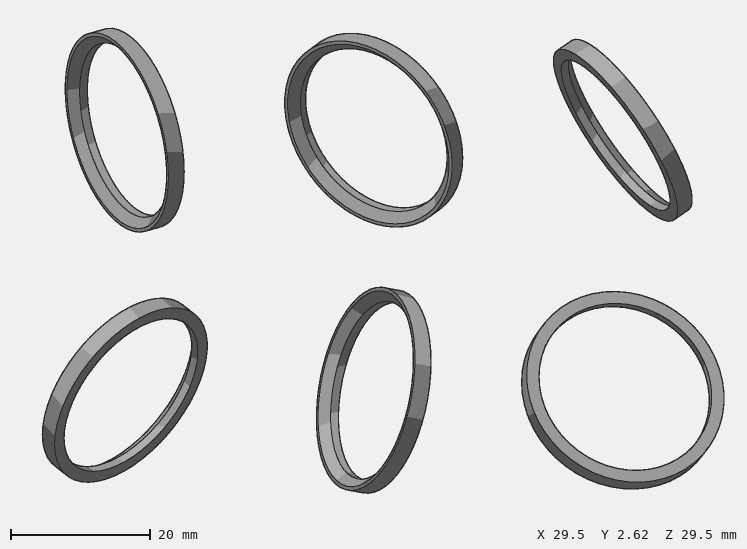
import cadquery as cq

outer_diameter = 29.5
ring_width = 2.62
mouth_diameter = 28.43
bore_diameter = 25.77
taper_depth = 1.33

outer_radius = outer_diameter / 2
mouth_radius = mouth_diameter / 2
bore_radius = bore_diameter / 2
front_y = -ring_width / 2
back_y = ring_width / 2

section = (
    cq.Workplane("XY")
    .moveTo(mouth_radius, front_y)
    .lineTo(outer_radius, front_y)
    .lineTo(outer_radius, back_y)
    .lineTo(bore_radius, back_y)
    .lineTo(bore_radius, front_y + taper_depth)
    .close()
)

result = section.revolve(360, (0, 0, 0), (0, 1, 0))